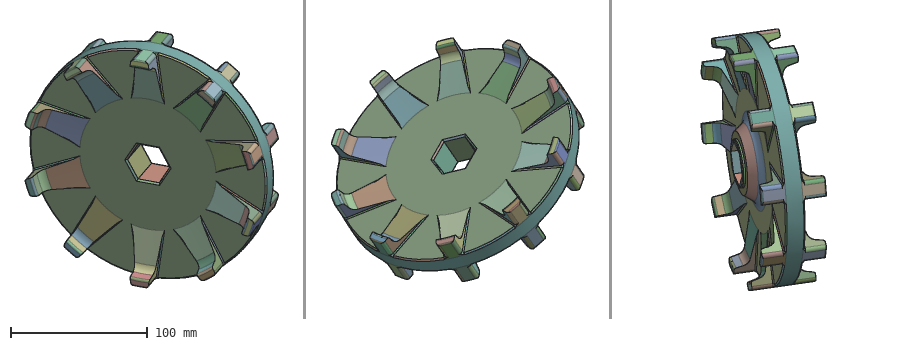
import cadquery as cq
import math

wheel_radius = 93.3
disc_half_thickness = 7.5
disc_edge_chamfer = 1.1

tooth_count = 10
tooth_half_span = 24.3
tooth_outer_half_width = 6.7
tooth_side_angle = 7.6
tooth_corner_round = 3.0
crest_edge_round = 1.0
foot_chamfer = 1.0

ramp_start_radius = 53.7
ramp_angle = 10.6
wall_tip_radius = 87.1
wall_draft_angle = 13.0
root_round = 6.5
tip_round = 1.9

hub_top = 20.5
hub_top_diameter = 36.4
hub_top_chamfer = 0.7
cone_top = 18.3
cone_top_radius = 23.9
cone_base = 11.5
cone_base_radius = 29.0

hex_sides = 6
hex_across_corners = 33.2
hex_mouth_across_corners = 36.4

chamfer_angle = 45

trim_allowance = 5.6


def make_disc():
    blank = (
        cq.Workplane("XZ", origin=(0, disc_half_thickness, 0))
        .circle(wheel_radius)
        .extrude(2 * disc_half_thickness)
    )
    return blank.edges("%CIRCLE").chamfer(disc_edge_chamfer)


def make_tooth_envelope():
    """Solid of revolution that gives the teeth of one face their ramp, wall and crest."""
    ramp_slope = math.tan(math.radians(ramp_angle))
    wall_slope = math.tan(math.radians(wall_draft_angle))
    wall_rise = tooth_half_span - disc_half_thickness + ramp_slope * ramp_start_radius
    root_radius = (wall_tip_radius - wall_slope * wall_rise) / (1 - wall_slope * ramp_slope)
    root_height = disc_half_thickness + ramp_slope * (root_radius - ramp_start_radius)

    ramp_start = (ramp_start_radius, disc_half_thickness)
    root = (root_radius, root_height)
    wall_tip = (wall_tip_radius, tooth_half_span)
    crest = (wheel_radius, tooth_half_span)
    nearest = cq.selectors.NearestToPointSelector
    axle_side = (ramp_start_radius, 0)
    rim_side = (wheel_radius, 0)
    profile = cq.Sketch().polygon([axle_side, ramp_start, root, wall_tip, crest, rim_side, axle_side])
    rounds = ((root, root_round), (wall_tip, tip_round), (crest, crest_edge_round))
    for corner, radius in rounds:
        profile = profile.vertices(nearest((*corner, 0))).fillet(radius).reset()
    return cq.Workplane("XY").placeSketch(profile).revolve(360, (0, 0, 0), (0, 1, 0))


def make_tooth():
    """One tooth at +Z on the +Y face, still at full height along its whole length."""
    inner_radius = ramp_start_radius - trim_allowance
    widening = math.tan(math.radians(tooth_side_angle)) * (wheel_radius - inner_radius)
    inner_half_width = tooth_outer_half_width + widening
    corner_reach = math.sqrt(wheel_radius**2 - tooth_outer_half_width**2)
    foot_top = disc_half_thickness + foot_chamfer
    body = (
        cq.Workplane("ZX", origin=(0, foot_top, 0))
        .moveTo(inner_radius, -inner_half_width)
        .lineTo(corner_reach, -tooth_outer_half_width)
        .threePointArc((wheel_radius, 0), (corner_reach, tooth_outer_half_width))
        .lineTo(inner_radius, inner_half_width)
        .close()
        .extrude(tooth_half_span - foot_top)
        .edges("|Y")
        .edges(">Z")
        .fillet(tooth_corner_round)
    )
    foot_height = foot_chamfer + disc_edge_chamfer
    foot = (
        body.faces("<Y")
        .wires()
        .toPending()
        .workplane(invert=True)
        .offset2D(foot_height, "intersection")
        .extrude(foot_height, combine=False, taper=chamfer_angle)
        .translate((0, -foot_height, 0))
    )
    return body.union(foot)


def make_teeth():
    """Ring of teeth, trimmed to the envelope and repeated on both faces."""
    tooth = make_tooth().intersect(make_tooth_envelope())
    teeth = cq.Workplane("XY")
    for index in range(tooth_count):
        turned = tooth.rotate((0, 0, 0), (0, 1, 0), index * 360 / tooth_count)
        teeth = teeth.add(turned).add(turned.mirror("XZ"))
    return teeth.combine()


def make_hub():
    """Cone with a flared base and a chamfered boss on top, on the +Y face."""
    hub_top_radius = hub_top_diameter / 2
    cone_angle = math.atan2(cone_top - cone_base, cone_base_radius - cone_top_radius)
    flare_radius = (cone_base - disc_half_thickness) / (1 - math.cos(cone_angle))
    flare_end = cone_base_radius + flare_radius * math.sin(cone_angle)
    return (
        cq.Workplane("XY")
        .lineTo(0, hub_top)
        .lineTo(hub_top_radius - hub_top_chamfer, hub_top)
        .lineTo(hub_top_radius, hub_top - hub_top_chamfer)
        .lineTo(hub_top_radius, cone_top)
        .lineTo(cone_top_radius, cone_top)
        .lineTo(cone_base_radius, cone_base)
        .tangentArcPoint((flare_end, disc_half_thickness), relative=False)
        .lineTo(flare_end, 0)
        .close()
        .revolve(360, (0, 0, 0), (0, 1, 0))
    )


def make_bore():
    """Hexagonal bore through disc and hub, with a chamfered mouth on the -Y face."""
    bore = (
        cq.Workplane("XZ")
        .polygon(hex_sides, hex_across_corners)
        .extrude(hub_top + disc_half_thickness, both=True)
    )
    corner_growth = (hex_mouth_across_corners - hex_across_corners) / 2
    mouth_depth = corner_growth * math.cos(math.pi / hex_sides)
    mouth = (
        cq.Workplane("XZ", origin=(0, -disc_half_thickness, 0))
        .polygon(hex_sides, hex_mouth_across_corners)
        .extrude(-mouth_depth, taper=chamfer_angle)
    )
    return bore.union(mouth)


result = make_disc().union(make_hub()).cut(make_bore()).union(make_teeth(), clean=False)